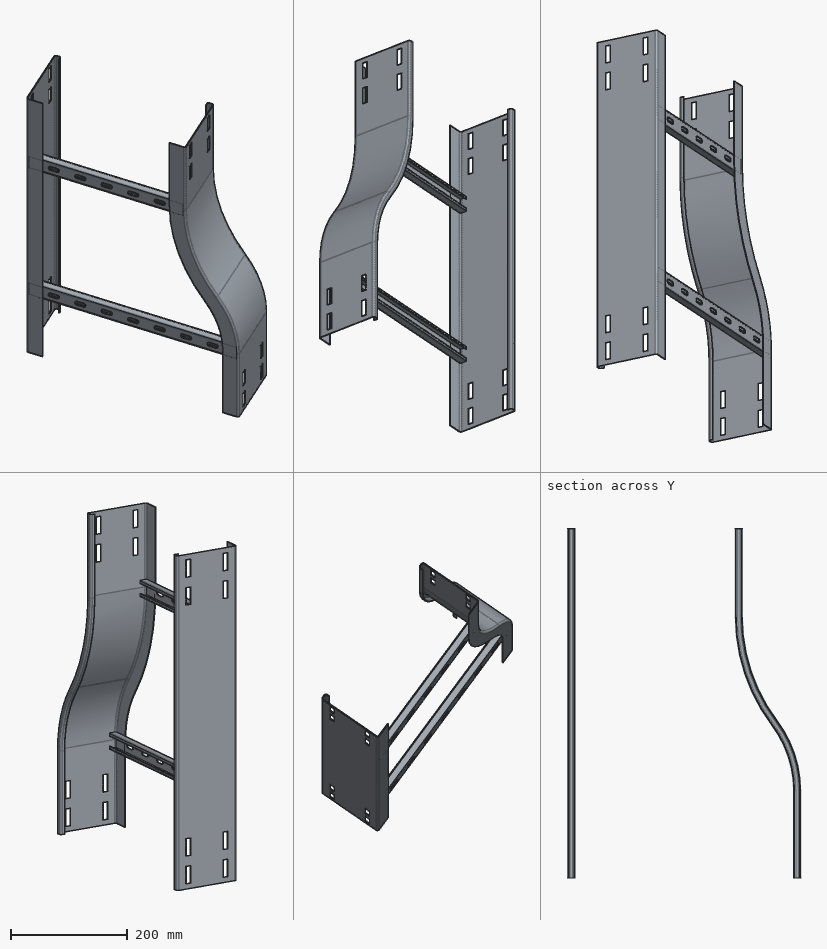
import cadquery as cq
import math

height = 600.0
bottom_width = 400.0
top_width = 300.0
depth = 120.0

sheet = 1.85
bend_radius = 4.0
front_flange = 30.5
back_flange = 12.5
lip_depth = 9.0

straight_end = 150.0
upper_bend_share = 0.6
bend_rise = height - 2 * straight_end
width_step = bottom_width - top_width
bend_angle = 2 * math.atan(width_step / bend_rise)
radius_sum = bend_rise / math.sin(bend_angle)
upper_bend = upper_bend_share * radius_sum
lower_bend = radius_sum - upper_bend

web_slot_length = 31.0
web_slot_width = 9.0
web_slot_spacing = 74.5
bottom_slot_levels = [25.0, 75.0]
top_slot_levels = [height - level for level in bottom_slot_levels]

rung_height = 30.0
rung_depth = 15.0
rung_bend = 2.0
rung_lip = 6.0
rung_start = 4.0
lower_rung_gap = 5.0
upper_rung_gap = 6.0
lower_rung_end = bottom_width - lower_rung_gap
upper_rung_end = top_width - upper_rung_gap
lower_rung_level = straight_end
upper_rung_level = height - straight_end

rung_slot_length = 20.5
rung_slot_width = 8.5
rung_slot_pitch = 50.0
first_rung_slot = 51.0
lower_slot_count = 7
upper_slot_count = 5


def rail_section(outer_x, inward):
    """Bent sheet outline at z = 0, web outside at outer_x and flanges pointing along inward * X."""

    def at(x, y):
        return (outer_x + inward * x, y)

    back_inside = depth - sheet
    back_bend = depth - bend_radius
    lip_bend = back_flange - bend_radius
    lip_inside = back_flange - sheet
    lip_edge = depth - lip_depth
    return (
        cq.Workplane("XY")
        .moveTo(*at(front_flange, 0))
        .lineTo(*at(bend_radius, 0))
        .tangentArcPoint(at(0, bend_radius), relative=False)
        .lineTo(*at(0, back_bend))
        .tangentArcPoint(at(bend_radius, depth), relative=False)
        .lineTo(*at(lip_bend, depth))
        .tangentArcPoint(at(back_flange, back_bend), relative=False)
        .lineTo(*at(back_flange, lip_edge))
        .lineTo(*at(lip_inside, lip_edge))
        .lineTo(*at(lip_inside, back_bend))
        .tangentArcPoint(at(lip_bend, back_inside), relative=False)
        .lineTo(*at(bend_radius, back_inside))
        .tangentArcPoint(at(sheet, back_bend), relative=False)
        .lineTo(*at(sheet, bend_radius))
        .tangentArcPoint(at(bend_radius, sheet), relative=False)
        .lineTo(*at(front_flange, sheet))
        .close()
    )


def cut_web_slots(rail, outer_x, levels):
    """Cut a pair of upright slots through the web at each level."""
    slot = cq.Workplane("XY").box(2 * bend_radius, web_slot_width, web_slot_length)
    for level in levels:
        for side in (-1, 1):
            slot_y = depth / 2 + side * web_slot_spacing / 2
            rail = rail.cut(slot.translate((outer_x, slot_y, level)))
    return rail


def make_left_rail():
    rail = rail_section(0, 1).extrude(height)
    return cut_web_slots(rail, 0, bottom_slot_levels + top_slot_levels)


def offset_path():
    """Path of the right rail's outer face: straight, two opposite arcs, straight."""

    def lower_arc(angle):
        return (
            bottom_width - lower_bend * (1 - math.cos(angle)),
            straight_end + lower_bend * math.sin(angle),
        )

    def upper_arc(angle):
        return (
            top_width + upper_bend * (1 - math.cos(angle)),
            height - straight_end - upper_bend * math.sin(angle),
        )

    return (
        cq.Workplane("XZ")
        .moveTo(bottom_width, 0)
        .lineTo(bottom_width, straight_end)
        .threePointArc(lower_arc(bend_angle / 2), lower_arc(bend_angle))
        .threePointArc(upper_arc(bend_angle / 2), (top_width, height - straight_end))
        .lineTo(top_width, height)
    )


def make_right_rail():
    rail = rail_section(bottom_width, -1).sweep(offset_path())
    rail = cut_web_slots(rail, bottom_width, bottom_slot_levels)
    return cut_web_slots(rail, top_width, top_slot_levels)


def make_rung(rung_end, level, slot_count):
    """C-channel with its slotted web against the front flanges and two lips along its open back."""
    length = rung_end - rung_start
    slot_center = first_rung_slot + (slot_count - 1) * rung_slot_pitch / 2
    slot_reach = rung_depth / 2
    bar = (
        cq.Workplane("XY")
        .box(length, rung_depth, rung_height, centered=(False, False, True))
        .edges("|X")
        .fillet(rung_bend)
    )
    hollow = (
        cq.Workplane("XY")
        .box(length, rung_depth - 2 * sheet, rung_height - 2 * sheet, centered=(False, False, True))
        .translate((0, sheet, 0))
    )
    back_opening = (
        cq.Workplane("XY")
        .box(length, rung_depth, rung_height - 2 * rung_lip, centered=(False, False, True))
        .translate((0, sheet, 0))
    )
    channel = bar.cut(hollow).cut(back_opening).translate((rung_start, sheet, level))
    slots = (
        cq.Workplane("XZ")
        .center(slot_center, level)
        .rarray(rung_slot_pitch, 6, slot_count, 1)
        .slot2D(rung_slot_length, rung_slot_width)
        .extrude(-slot_reach)
    )
    return channel.cut(slots)


left_rail = make_left_rail()
right_rail = make_right_rail()
lower_rung = make_rung(lower_rung_end, lower_rung_level, lower_slot_count)
upper_rung = make_rung(upper_rung_end, upper_rung_level, upper_slot_count)

result = cq.Compound.makeCompound(
    [left_rail.val(), right_rail.val(), lower_rung.val(), upper_rung.val()]
)